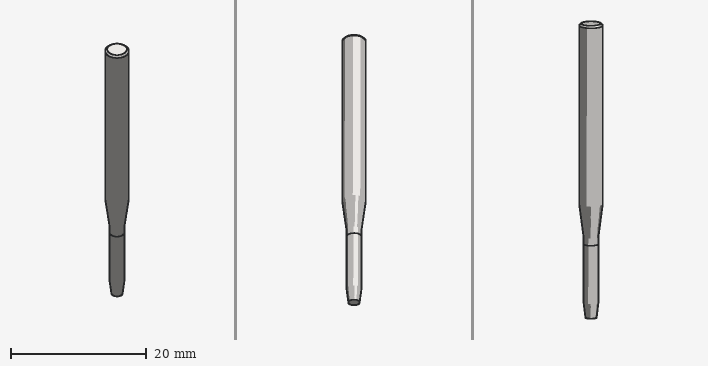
import cadquery as cq

total_length = 44.5
shank_radius = 3.5 / 2
neck_radius = 2.22 / 2
tip_radius = 1.7 / 2
top_chamfer = 0.3

tip_taper_top = 2.25
joint_height = 11.12
shank_taper_bottom = 12.2
shank_taper_top = 17.18


def revolve_about_z(outline):
    """Turn a closed (radius, height) outline about the Z axis."""
    return (
        cq.Workplane("XZ")
        .polyline(outline)
        .close()
        .revolve(360, (0, 0, 0), (0, 1, 0))
    )


def make_shank():
    """Chamfered cylinder that tapers down to a short neck above the joint."""
    return revolve_about_z([
        (0, joint_height),
        (neck_radius, joint_height),
        (neck_radius, shank_taper_bottom),
        (shank_radius, shank_taper_top),
        (shank_radius, total_length - top_chamfer),
        (shank_radius - top_chamfer, total_length),
        (0, total_length),
    ])


def make_tip_pin():
    """Slender pin with a tapered tip, butted against the shank's neck."""
    return revolve_about_z([
        (0, 0),
        (tip_radius, 0),
        (neck_radius, tip_taper_top),
        (neck_radius, joint_height),
        (0, joint_height),
    ])


shank = make_shank()
tip_pin = make_tip_pin()

result = cq.Compound.makeCompound([shank.val(), tip_pin.val()])